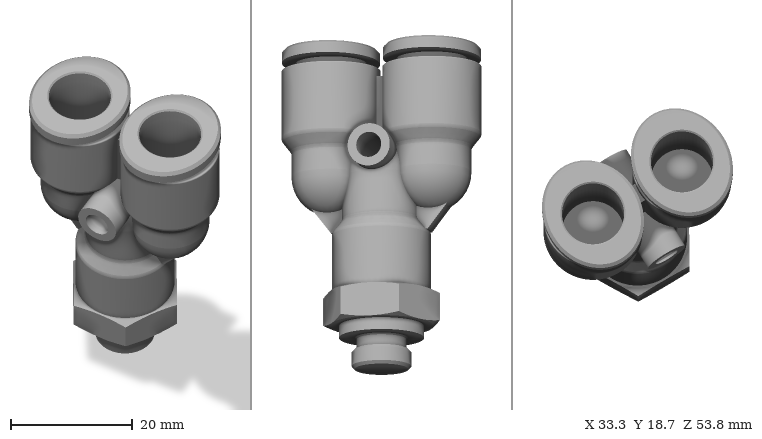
import cadquery as cq
import math


BARREL_RADIUS = 8.15
WAIST_RADIUS = 6.5
TAPER_LENGTH = 2.15
TAPER_BLEND = 1.0
SELECTION_MARGIN = 0.05

TIP_RADIUS = 4.9
TIP_CHAMFER = 0.5
TIP_TOP = 3.3
NECK_RADIUS = 4.1
NECK_CHAMFER = 0.25
FLANGE_BOTTOM = 5.25
FLANGE_RADIUS = 7.0
HEX_BOTTOM = 7.25
HEX_TOP = 12.85
HEX_ACROSS_FLATS = 17.0
HEX_FACE_RADIUS = HEX_ACROSS_FLATS / 2
HEX_CHAMFER_HEIGHT = 0.5

STEM_TAPER_BOTTOM = 22.7
STEM_DOME_CENTRE = 32.2

SOCKET_OFFSET = 8.5
SOCKET_SPHERE_CENTRE = 32.7
SOCKET_TAPER_BOTTOM = 36.7
SOCKET_TOP = 50.5
SOCKET_EDGE_ROUND = 0.2

COLLAR_NECK_RADIUS = 5.85
COLLAR_BOTTOM = 51.7
COLLAR_TOP = 53.8
COLLAR_HALF_WIDTH = 8.0
COLLAR_HALF_DEPTH = 9.35
COLLAR_CHAMFER = 0.5
BORE_RADIUS = 5.1
BORE_CHAMFER = 0.25
BORE_FLOOR = SOCKET_TAPER_BOTTOM + TAPER_LENGTH

BOSS_RADIUS = 3.55
BOSS_HALF_LENGTH = COLLAR_HALF_DEPTH
BOSS_HEIGHT = 35.8
BOSS_HOLE_RADIUS = 2.1

WEB_THICKNESS = 3.2
WEB_TOP = 48.9
GUSSET_BOTTOM = 22.9
GUSSET_TIP_X = 12.5
GUSSET_TIP_Z = 28.5


def cylinder(radius, bottom, top):
    """Upright cylinder on the Z axis."""
    return cq.Workplane("XY").workplane(offset=bottom).circle(radius).extrude(top - bottom)


def revolve_about_z(outline):
    """Solid of revolution from (radius, height) points, closed along the Z axis."""
    return cq.Workplane("XZ").polyline(outline).close().revolve(360, (0, 0, 0), (0, 1, 0))


def circles_at(height):
    """Selector for the circular edges lying at one height."""
    return cq.selectors.BoxSelector(
        (-BARREL_RADIUS, -BARREL_RADIUS, height - SELECTION_MARGIN),
        (BARREL_RADIUS, BARREL_RADIUS, height + SELECTION_MARGIN),
    )


def make_threaded_end():
    end = cylinder(TIP_RADIUS, 0, TIP_TOP).faces("<Z or >Z").edges().chamfer(TIP_CHAMFER)
    end = end.union(cylinder(NECK_RADIUS, TIP_TOP, FLANGE_BOTTOM))
    flare = revolve_about_z([
        (0, FLANGE_BOTTOM - NECK_CHAMFER),
        (NECK_RADIUS, FLANGE_BOTTOM - NECK_CHAMFER),
        (NECK_RADIUS + NECK_CHAMFER, FLANGE_BOTTOM),
        (0, FLANGE_BOTTOM),
    ])
    return end.union(flare).union(cylinder(FLANGE_RADIUS, FLANGE_BOTTOM, HEX_BOTTOM))


def make_hexagon():
    corner_radius = HEX_FACE_RADIUS / math.cos(math.pi / 6)
    prism = (
        cq.Workplane("XY")
        .workplane(offset=HEX_BOTTOM)
        .polygon(6, 2 * corner_radius)
        .extrude(HEX_TOP - HEX_BOTTOM)
    )
    envelope = revolve_about_z([
        (0, HEX_BOTTOM),
        (HEX_FACE_RADIUS, HEX_BOTTOM),
        (corner_radius, HEX_BOTTOM + HEX_CHAMFER_HEIGHT),
        (corner_radius, HEX_TOP - HEX_CHAMFER_HEIGHT),
        (HEX_FACE_RADIUS, HEX_TOP),
        (0, HEX_TOP),
    ])
    return prism.intersect(envelope)


def make_stem():
    taper_top = STEM_TAPER_BOTTOM + TAPER_LENGTH
    barrel = revolve_about_z([
        (0, HEX_TOP),
        (BARREL_RADIUS, HEX_TOP),
        (BARREL_RADIUS, STEM_TAPER_BOTTOM),
        (WAIST_RADIUS, taper_top),
        (WAIST_RADIUS, STEM_DOME_CENTRE),
        (0, STEM_DOME_CENTRE),
    ])
    for height in (STEM_TAPER_BOTTOM, taper_top):
        barrel = barrel.edges(circles_at(height)).fillet(TAPER_BLEND)
    dome = cq.Workplane("XY").sphere(WAIST_RADIUS).translate((0, 0, STEM_DOME_CENTRE))
    return barrel.union(dome)


def make_socket():
    """Socket body centred on the Z axis, without its bore."""
    taper_top = SOCKET_TAPER_BOTTOM + TAPER_LENGTH
    barrel = revolve_about_z([
        (0, SOCKET_SPHERE_CENTRE),
        (WAIST_RADIUS, SOCKET_SPHERE_CENTRE),
        (WAIST_RADIUS, SOCKET_TAPER_BOTTOM),
        (BARREL_RADIUS, taper_top),
        (BARREL_RADIUS, SOCKET_TOP),
        (0, SOCKET_TOP),
    ])
    for height in (SOCKET_TAPER_BOTTOM, taper_top):
        barrel = barrel.edges(circles_at(height)).fillet(TAPER_BLEND)
    barrel = barrel.faces(">Z").edges().fillet(SOCKET_EDGE_ROUND)
    sphere = cq.Workplane("XY").sphere(WAIST_RADIUS).translate((0, 0, SOCKET_SPHERE_CENTRE))
    return barrel.union(sphere)


def make_collar():
    """Oval release collar on its round neck, centred on the Z axis."""
    collar = (
        cq.Workplane("XY")
        .workplane(offset=COLLAR_BOTTOM)
        .ellipse(COLLAR_HALF_WIDTH, COLLAR_HALF_DEPTH)
        .extrude(COLLAR_TOP - COLLAR_BOTTOM)
        .faces(">Z")
        .edges()
        .chamfer(COLLAR_CHAMFER)
    )
    return collar.union(cylinder(COLLAR_NECK_RADIUS, SOCKET_TOP, COLLAR_BOTTOM))


def make_bore():
    """Blind tube bore with a chamfered mouth, centred on the Z axis."""
    return revolve_about_z([
        (0, BORE_FLOOR),
        (BORE_RADIUS, BORE_FLOOR),
        (BORE_RADIUS, COLLAR_TOP - BORE_CHAMFER),
        (BORE_RADIUS + BORE_CHAMFER, COLLAR_TOP),
        (0, COLLAR_TOP),
    ])


def make_cross_cylinder(radius):
    """Cylinder along Y through the boss centre."""
    return (
        cq.Workplane("XZ")
        .center(0, BOSS_HEIGHT)
        .circle(radius)
        .extrude(BOSS_HALF_LENGTH, both=True)
    )


def make_webs():
    web = (
        cq.Workplane("XZ")
        .center(0, (BOSS_HEIGHT + WEB_TOP) / 2)
        .rect(2 * SOCKET_OFFSET, WEB_TOP - BOSS_HEIGHT)
        .extrude(WEB_THICKNESS / 2, both=True)
    )
    gusset = (
        cq.Workplane("XZ")
        .polyline([
            (0, GUSSET_BOTTOM),
            (BARREL_RADIUS, GUSSET_BOTTOM),
            (GUSSET_TIP_X, GUSSET_TIP_Z),
            (SOCKET_OFFSET, SOCKET_SPHERE_CENTRE),
            (0, SOCKET_SPHERE_CENTRE),
        ])
        .close()
        .extrude(WEB_THICKNESS / 2, both=True)
    )
    return web.union(gusset).union(gusset.mirror("YZ"))


def make_fitting():
    fitting = make_threaded_end().union(make_hexagon()).union(make_stem())
    fitting = fitting.union(make_webs()).union(make_cross_cylinder(BOSS_RADIUS))
    socket = make_socket().union(make_collar())
    socket_places = [(side * SOCKET_OFFSET, 0, 0) for side in (-1, 1)]
    for place in socket_places:
        fitting = fitting.union(socket.translate(place))
    for place in socket_places:
        fitting = fitting.cut(make_bore().translate(place))
    return fitting.cut(make_cross_cylinder(BOSS_HOLE_RADIUS))


result = make_fitting()